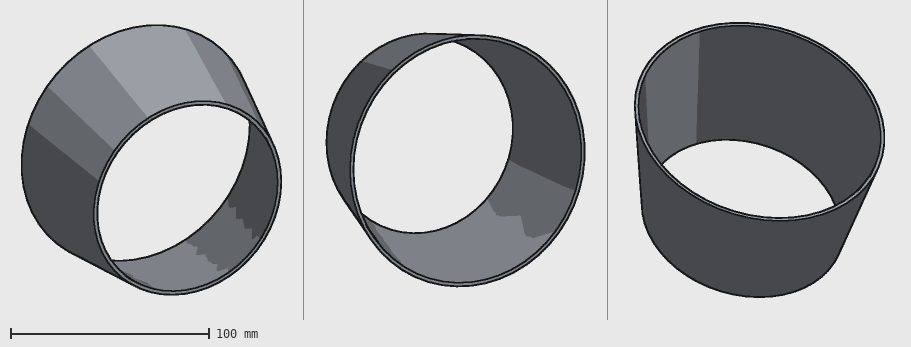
import cadquery as cq

length = 75.0
large_outer_diameter = 128.7
small_outer_diameter = 104.2
large_inner_diameter = 124.8
small_inner_diameter = 100.1
small_end_shift = -6.5


def eccentric_cone(large_diameter, small_diameter):
    """Solid tapering from a circle at X = 0 to a shifted circle at X = length."""
    return (
        cq.Workplane("YZ")
        .circle(large_diameter / 2)
        .workplane(offset=length)
        .center(small_end_shift, 0)
        .circle(small_diameter / 2)
        .loft(ruled=True, combine=True)
    )


outer_body = eccentric_cone(large_outer_diameter, small_outer_diameter)
bore = eccentric_cone(large_inner_diameter, small_inner_diameter)

result = outer_body.cut(bore)